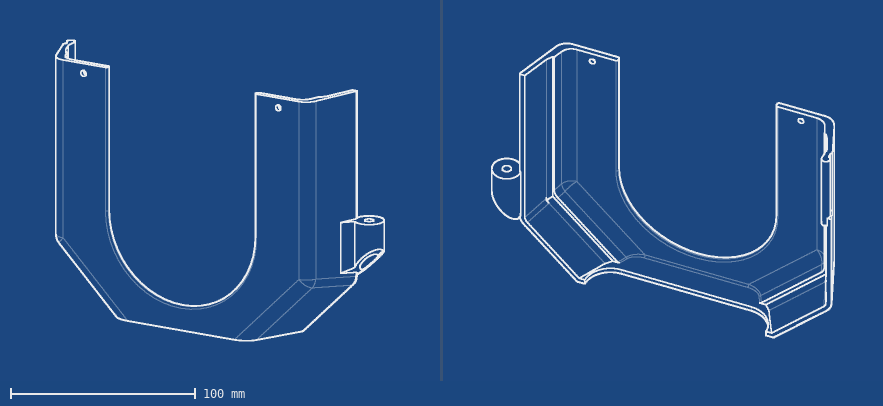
import cadquery as cq
import math

HEIGHT = 141.5
BACK_HALF_WIDTH = 91.25
DEPTH = 33.0
RIM_DEPTH = 1.1
WALL_SLOPE = 20.0
CORNER_DIAGONAL = 57.6
EDGE_RADIUS = 8.0

PLATE_THICKNESS = 3.2
FLOOR_THICKNESS = 3.0
THIN_WALL = 3.2
THICK_WALL = 5.0
LOWER_WALL_EXTRA = 1.2
LEDGE_Y = 13.4
THIN_START = 16.8
BLEND_STEP = 1.0
INNER_FRONT_RADIUS = 7.4
INNER_CORNER_RADIUS = 5.0

ARCH_RADIUS = 46.3
ARCH_CENTER_Z = 60.2
ARCH_EDGE_RADIUS = 1.2

SCREW_DIAMETER = 3.2
SCREW_X = 61.2
SCREW_DROP = 5.6

RECESS_HALF_WIDTH = 53.1
RECESS_DEPTH = 15.0

BEAD_RADIUS = 2.35
BEAD_X = -87.45
BEAD_TIP_Y = 33.6
BEAD_BOTTOM_Z = 94.0
BEAD_ROOT_Y = 24.0
LEDGE_Z = 99.5
GROOVE_TOP_Y = 30.6
GROOVE_FLOOR_TOP_Y = 28.7
GROOVE_FLOOR_BOTTOM_Y = 26.9
GROOVE_BOTTOM_Y = 25.5
GROOVE_FLOOR_X = -88.2

BARREL_RIGHT_X = 106.82
BARREL_BACK_Y = 41.5
BARREL_RADIUS = 8.15
BARREL_TOP_Z = 69.2
HINGE_FOLD_Y = 34.7
HINGE_DIAGONAL = 53.8
PIN_DIAMETER = 4.8
COUNTERBORE_DIAMETER = 10.0
COUNTERBORE_ROOF = 5.0
WEB_ROOT_Y = 21.7
WEB_BACK_Y = 36.1

SLOPE_TAN = math.tan(math.radians(WALL_SLOPE))
SLOPE_COS = math.cos(math.radians(WALL_SLOPE))
TAPER_DEPTH = DEPTH - RIM_DEPTH
FAR = 200.0
MARGIN = 1.0


def wall_outline(y, thickness, lower_extra=0.0):
    """Pointed outline of the walls at depth y, set inward by the given wall thickness.

    The 45 degree lower walls can be given some extra thickness.
    """
    inset = (TAPER_DEPTH - y) * SLOPE_TAN + thickness / SLOPE_COS
    lower_inset = inset + lower_extra / SLOPE_COS
    half_width = BACK_HALF_WIDTH - inset
    diagonal = CORNER_DIAGONAL - lower_inset * math.sqrt(2)
    points = [
        (half_width, HEIGHT + FAR),
        (half_width, half_width - diagonal),
        (0, -diagonal),
        (-half_width, half_width - diagonal),
        (-half_width, HEIGHT + FAR),
    ]
    return cq.Workplane("XZ").workplane(offset=-y).polyline(points).close()


def tapered_body(y_front, outline, y_back, slope=WALL_SLOPE):
    """Body narrowing from its back outline toward the front at the given slope."""
    return outline.extrude(y_back - y_front, taper=slope)


def slab(z_bottom, z_top):
    """Wide block between two heights."""
    base = cq.Workplane("XY").workplane(offset=z_bottom)
    return base.rect(2 * FAR, 2 * FAR).extrude(z_top - z_bottom)


def make_outer_body():
    outline = wall_outline(TAPER_DEPTH, 0)
    body = tapered_body(0, outline, TAPER_DEPTH).edges("not(>Y)").fillet(EDGE_RADIUS)
    rim = body.faces(">Y").wires().toPending().workplane().extrude(RIM_DEPTH, combine=False)
    return body.union(rim).intersect(slab(0, HEIGHT))


def make_cavity():
    """Room inside the walls: narrow at the front, then a ledge and a transition to the thin back part."""
    front_outline = wall_outline(LEDGE_Y, THICK_WALL, LOWER_WALL_EXTRA)
    front = tapered_body(PLATE_THICKNESS, front_outline, LEDGE_Y)
    front = front.edges("not(>Y)").fillet(INNER_FRONT_RADIUS)

    blend_slope = math.degrees(math.atan(SLOPE_TAN + BLEND_STEP / (THIN_START - LEDGE_Y)))
    blend = tapered_body(LEDGE_Y, wall_outline(THIN_START, THIN_WALL), THIN_START, blend_slope)
    back = tapered_body(THIN_START, wall_outline(DEPTH, THIN_WALL), DEPTH)
    back = back.edges("not(#Y)").fillet(INNER_CORNER_RADIUS)
    return front.union(blend).union(back).intersect(slab(FLOOR_THICKNESS, HEIGHT + FAR))


def cut_arch(body):
    """Round-bottomed opening in the front plate, with both of its edges rounded."""
    top = HEIGHT + FAR
    arch = (
        cq.Workplane("XZ")
        .moveTo(-ARCH_RADIUS, top)
        .lineTo(-ARCH_RADIUS, ARCH_CENTER_Z)
        .threePointArc((0, ARCH_CENTER_Z - ARCH_RADIUS), (ARCH_RADIUS, ARCH_CENTER_Z))
        .lineTo(ARCH_RADIUS, top)
        .close()
        .extrude(-PLATE_THICKNESS)
    )
    reach = ARCH_RADIUS + ARCH_EDGE_RADIUS / 2
    low_corner = (-reach, -MARGIN, MARGIN)
    high_corner = (reach, PLATE_THICKNESS + MARGIN, HEIGHT - MARGIN)
    around_arch = cq.selectors.BoxSelector(low_corner, high_corner)
    return body.cut(arch).edges(around_arch).edges("#Y").fillet(ARCH_EDGE_RADIUS)


def cut_screw_holes(body):
    centers = [(-SCREW_X, HEIGHT - SCREW_DROP), (SCREW_X, HEIGHT - SCREW_DROP)]
    holes = cq.Workplane("XZ").pushPoints(centers).circle(SCREW_DIAMETER / 2).extrude(-PLATE_THICKNESS)
    return body.cut(holes)


def cut_floor_recess(body):
    """Wide recess in the back edge of the floor, ending in quarter-round corners."""
    radius = RECESS_DEPTH
    flat_half_width = RECESS_HALF_WIDTH - radius
    bottom = DEPTH - RECESS_DEPTH
    mid = radius * math.sqrt(0.5)
    recess = (
        cq.Workplane("XY")
        .moveTo(-RECESS_HALF_WIDTH, DEPTH)
        .threePointArc((-flat_half_width - mid, DEPTH - mid), (-flat_half_width, bottom))
        .lineTo(flat_half_width, bottom)
        .threePointArc((flat_half_width + mid, DEPTH - mid), (RECESS_HALF_WIDTH, DEPTH))
        .close()
        .extrude(FLOOR_THICKNESS)
    )
    return body.cut(recess)


def add_bead(body):
    """Trim the left back edge to a rounded bead with a groove along its outer side."""
    outer_x = BEAD_X - BEAD_RADIUS
    inner_x = BEAD_X + BEAD_RADIUS
    center_y = BEAD_TIP_Y - BEAD_RADIUS
    section = (
        cq.Workplane("XY")
        .workplane(offset=BEAD_BOTTOM_Z)
        .moveTo(inner_x, BEAD_ROOT_Y)
        .lineTo(inner_x, center_y)
        .threePointArc((BEAD_X, BEAD_TIP_Y), (outer_x, center_y))
        .lineTo(outer_x, GROOVE_TOP_Y)
        .lineTo(GROOVE_FLOOR_X, GROOVE_FLOOR_TOP_Y)
        .lineTo(GROOVE_FLOOR_X, GROOVE_FLOOR_BOTTOM_Y)
    )
    wall_x = BACK_HALF_WIDTH - (TAPER_DEPTH - GROOVE_BOTTOM_Y) * SLOPE_TAN
    bead = section.lineTo(-wall_x, GROOVE_BOTTOM_Y).close().extrude(HEIGHT - BEAD_BOTTOM_Z)
    old_edge = (
        cq.Workplane("XY")
        .workplane(offset=LEDGE_Z)
        .moveTo(-wall_x, GROOVE_BOTTOM_Y)
        .lineTo(inner_x, GROOVE_BOTTOM_Y)
        .lineTo(inner_x, DEPTH)
        .lineTo(-BACK_HALF_WIDTH - MARGIN, DEPTH)
        .close()
        .extrude(HEIGHT - LEDGE_Z)
    )
    return body.cut(old_edge).union(bead)


def below_hinge(x, slope):
    """Space under the plane that falls toward the back at the given slope from the hinge fold line."""
    outward = math.cos(math.radians(slope)) * math.sqrt(0.5)
    underside = cq.Plane(
        origin=(x, HINGE_FOLD_Y, x - HINGE_DIAGONAL),
        xDir=(1, 0, 1),
        normal=(outward, -math.sin(math.radians(slope)), -outward),
    )
    return cq.Workplane(underside).rect(FAR, FAR).extrude(FAR)


def add_hinge(body):
    """Vertical barrel joined to the right leg by a web, cut off below parallel to the lower wall."""
    axis_x = BARREL_RIGHT_X - BARREL_RADIUS
    axis_y = BARREL_BACK_Y - BARREL_RADIUS
    root_x = BACK_HALF_WIDTH - (TAPER_DEPTH - WEB_ROOT_Y) * SLOPE_TAN
    web_end_x = root_x + (axis_y - WEB_ROOT_Y)
    base = cq.Workplane("XY")
    barrel = base.center(axis_x, axis_y).circle(BARREL_RADIUS).extrude(BARREL_TOP_Z)
    web = (
        base.moveTo(root_x, WEB_ROOT_Y)
        .lineTo(web_end_x, axis_y)
        .lineTo(axis_x, WEB_BACK_Y)
        .lineTo(BACK_HALF_WIDTH, WEB_BACK_Y)
        .lineTo(BACK_HALF_WIDTH, TAPER_DEPTH)
        .close()
        .extrude(BARREL_TOP_Z)
    )
    counterbore = (
        base.center(axis_x, axis_y)
        .circle(COUNTERBORE_DIAMETER / 2)
        .extrude(BARREL_TOP_Z - COUNTERBORE_ROOF)
    )
    pin_hole = base.center(axis_x, axis_y).circle(PIN_DIAMETER / 2).extrude(BARREL_TOP_Z)
    hinge = barrel.union(web).cut(below_hinge(axis_x, 0)).cut(below_hinge(axis_x, WALL_SLOPE))
    return body.union(hinge).cut(counterbore).cut(pin_hole)


result = make_outer_body().cut(make_cavity())
result = cut_arch(result)
result = cut_screw_holes(result)
result = cut_floor_recess(result)
result = add_bead(result)
result = add_hinge(result)